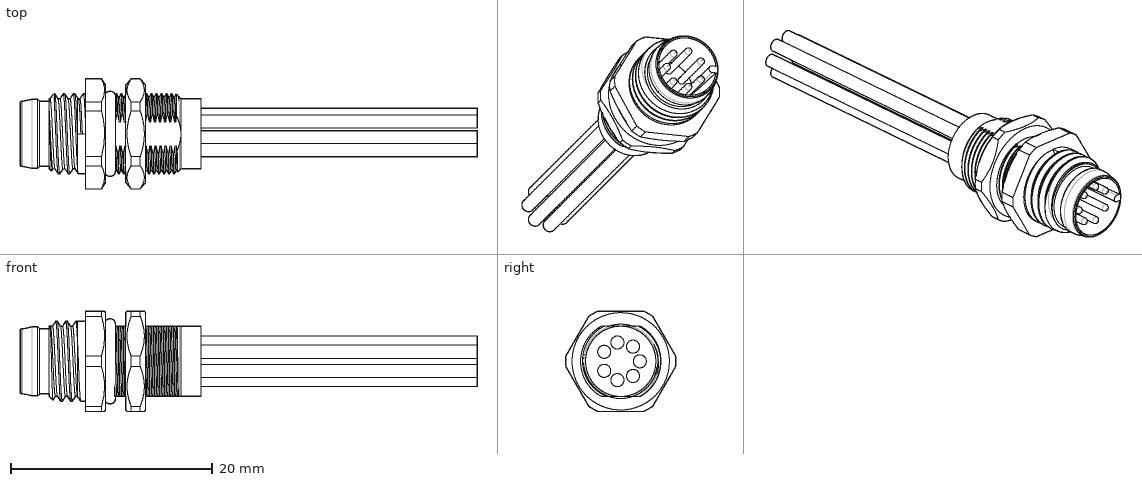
import cadquery as cq
import math


RAMP_START_X = 0.25
RAMP_END_X = 1.2
RIDGE_END_X = 1.75
NECK_X = 1.95
FRONT_THREAD_X = 2.9
SHOULDER_X = 5.7
FLANGE_X = 6.5
HEX_THICKNESS = 2.0
FLANGE_END_X = FLANGE_X + HEX_THICKNESS
NUT_X = 10.5
REAR_THREAD_END_X = 16.0
BODY_END_X = 18.0
WIRE_END_X = 45.5

SLEEVE_RADIUS = 3.25
RIDGE_RADIUS = 3.45
LIP_CHAMFER = 0.1
FLOOR_RADIUS = 2.8
MOUTH_RADIUS = 3.0
BORE_DEPTH = 7.0
KEY_RADIUS = 0.35
KEY_TIP_RADIUS = 2.25

THREAD_RADIUS = 4.0
FRONT_PITCH = 1.0
FRONT_ROOT_RADIUS = 3.5
FRONT_RIDGE_SHIFT = 0.22
RUNOUT_START_TURNS = 1.5
RUNOUT_TURNS = 1.5
REAR_PITCH = 0.5
REAR_ROOT_RADIUS = 3.7
CREST_SHARE = 0.15
BASE_SHARE = 0.85
THREAD_OVERLAP = 0.05
THREAD_CLEARANCE = 0.1
REAR_COLLAR_RADIUS = 3.5
FLAT_HALF_HEIGHT = 3.5

ACROSS_FLATS = 10.0
CORNER_DIAMETER = 10.99
HEX_CHAMFER_RADIAL = 0.65
FLANGE_CHAMFER_AXIAL = 0.4
NUT_CHAMFER_AXIAL = 0.55

RING_OUTER_RADIUS = 4.25
RING_SECTION_RADIUS = 0.55
RING_X = FLANGE_END_X + 0.45

CONTACT_COUNT = 7
CONTACT_STEP_DEG = 50.0
CONTACT_CIRCLE_RADIUS = 1.9
PIN_RADIUS = 0.35
PIN_TIP_X = 0.4
PIN_TIP_ROUNDING = 0.3
WIRE_RADIUS = 0.65
JOINT_OVERLAP = 0.5


def rod(radius, start_x, end_x, y=0.0, z=0.0):
    """Round bar parallel to X."""
    return cq.Workplane("YZ", origin=(start_x, y, z)).circle(radius).extrude(end_x - start_x)


def revolved(points):
    """Solid of revolution about X from (x, radius) points."""
    return cq.Workplane("XY").polyline(points).close().revolve(360, (0, 0, 0), (1, 0, 0))


def helical_bar(pitch, start_x, length, inner_radius, outer_radius, inner_width, outer_width):
    """Trapezoidal bar along a right-handed helix about X that begins on the -Z side."""
    helix = cq.Workplane(cq.Wire.makeHelix(pitch, length, inner_radius))
    profile = cq.Workplane("XZ").polyline(
        [
            (inner_radius, -inner_width / 2),
            (inner_radius, inner_width / 2),
            (outer_radius, outer_width / 2),
            (outer_radius, -outer_width / 2),
        ]
    ).close()
    bar = profile.sweep(helix, isFrenet=True)
    return bar.rotate((0, 0, 0), (0, 1, 0), 90).translate((start_x, 0, 0))


def thread_ridge(pitch, root_radius, start_x, end_x):
    """Thread ridge running one pitch past both ends."""
    return helical_bar(
        pitch,
        start_x - pitch,
        end_x - start_x + 2 * pitch,
        root_radius - THREAD_OVERLAP,
        THREAD_RADIUS,
        BASE_SHARE * pitch,
        CREST_SHARE * pitch,
    )


def front_runout():
    """Last stretch of the front thread groove, ending on the +Z side of the shoulder."""
    return helical_bar(
        FRONT_PITCH,
        FRONT_THREAD_X + FRONT_RIDGE_SHIFT + RUNOUT_START_TURNS * FRONT_PITCH,
        RUNOUT_TURNS * FRONT_PITCH,
        FRONT_ROOT_RADIUS,
        THREAD_RADIUS + THREAD_CLEARANCE,
        (1 - BASE_SHARE) * FRONT_PITCH,
        FRONT_PITCH,
    )


def plug_sleeve():
    return revolved(
        [
            (0, 0),
            (0, SLEEVE_RADIUS - LIP_CHAMFER),
            (LIP_CHAMFER, SLEEVE_RADIUS),
            (RAMP_START_X, SLEEVE_RADIUS),
            (RAMP_END_X, RIDGE_RADIUS),
            (RIDGE_END_X, RIDGE_RADIUS),
            (NECK_X, SLEEVE_RADIUS),
            (FRONT_THREAD_X, SLEEVE_RADIUS),
            (FRONT_THREAD_X, 0),
        ]
    )


def front_thread():
    core = rod(FRONT_ROOT_RADIUS, FRONT_THREAD_X, FLANGE_X)
    envelope_radius = THREAD_RADIUS + THREAD_CLEARANCE
    chamfer = envelope_radius - FRONT_ROOT_RADIUS
    envelope = revolved(
        [
            (FRONT_THREAD_X, 0),
            (FRONT_THREAD_X, FRONT_ROOT_RADIUS),
            (FRONT_THREAD_X + chamfer, envelope_radius),
            (SHOULDER_X, envelope_radius),
            (SHOULDER_X, 0),
        ]
    )
    ridge = thread_ridge(FRONT_PITCH, FRONT_ROOT_RADIUS, FRONT_THREAD_X, SHOULDER_X)
    ridge = ridge.translate((FRONT_RIDGE_SHIFT, 0, 0)).intersect(envelope)
    shoulder = rod(THREAD_RADIUS, SHOULDER_X, FLANGE_X).cut(front_runout())
    return core.union(ridge).union(shoulder)


def rear_thread():
    """Fine thread with a chamfered end and a flat on its upper and lower sides."""
    envelope_radius = THREAD_RADIUS + THREAD_CLEARANCE
    chamfer = envelope_radius - REAR_COLLAR_RADIUS
    root_end_x = REAR_THREAD_END_X - (REAR_ROOT_RADIUS - REAR_COLLAR_RADIUS)
    core = revolved(
        [
            (FLANGE_END_X, 0),
            (FLANGE_END_X, REAR_ROOT_RADIUS),
            (root_end_x, REAR_ROOT_RADIUS),
            (REAR_THREAD_END_X, REAR_COLLAR_RADIUS),
            (REAR_THREAD_END_X, 0),
        ]
    )
    envelope = revolved(
        [
            (RING_X, 0),
            (RING_X, envelope_radius),
            (REAR_THREAD_END_X - chamfer, envelope_radius),
            (REAR_THREAD_END_X, REAR_COLLAR_RADIUS),
            (REAR_THREAD_END_X, 0),
        ]
    )
    ridge = thread_ridge(REAR_PITCH, REAR_ROOT_RADIUS, RING_X, REAR_THREAD_END_X)
    ridge = ridge.intersect(envelope)
    slab = cq.Workplane("XY").box(2 * BODY_END_X, 2 * ACROSS_FLATS, 2 * FLAT_HALF_HEIGHT)
    return core.union(ridge).intersect(slab)


def hexagon(start_x, chamfer_axial, chamfer_front):
    """Hexagon with corners on Y, rounded corners and a chamfered rear face."""
    end_x = start_x + HEX_THICKNESS
    corner_radius = CORNER_DIAMETER / 2
    face_radius = corner_radius - HEX_CHAMFER_RADIAL
    prism = (
        cq.Workplane("YZ", origin=(start_x, 0, 0))
        .polygon(6, ACROSS_FLATS / math.cos(math.pi / 6))
        .extrude(HEX_THICKNESS)
    )
    if chamfer_front:
        front = [(start_x, face_radius), (start_x + chamfer_axial, corner_radius)]
    else:
        front = [(start_x, corner_radius)]
    rear = [(end_x - chamfer_axial, corner_radius), (end_x, face_radius)]
    return prism.intersect(revolved([(start_x, 0)] + front + rear + [(end_x, 0)]))


def jam_nut():
    nut = hexagon(NUT_X, NUT_CHAMFER_AXIAL, chamfer_front=True)
    return nut.cut(rod(REAR_ROOT_RADIUS, NUT_X, NUT_X + HEX_THICKNESS))


def sealing_ring():
    section_center = (RING_X, RING_OUTER_RADIUS - RING_SECTION_RADIUS)
    return (
        cq.Workplane("XY")
        .moveTo(*section_center)
        .circle(RING_SECTION_RADIUS)
        .revolve(360, (0, 0, 0), (1, 0, 0))
    )


def socket():
    """Bore of the plug, tapering inward from its mouth, less the round-nosed key along its -Y side."""
    bore = revolved(
        [
            (0, 0),
            (0, MOUTH_RADIUS),
            (BORE_DEPTH, FLOOR_RADIUS),
            (BORE_DEPTH, 0),
        ]
    )
    key_center = KEY_TIP_RADIUS + KEY_RADIUS
    nose = rod(KEY_RADIUS, 0, BORE_DEPTH, y=-key_center)
    web = cq.Workplane("XY", origin=(0, -SLEEVE_RADIUS, 0)).box(
        BORE_DEPTH, SLEEVE_RADIUS - key_center, 2 * KEY_RADIUS, centered=(False, False, True)
    )
    return bore.cut(nose).cut(web)


def contacts():
    """All pins with the wires behind them, still as separate solids."""
    pieces = cq.Workplane("YZ")
    first_angle = -CONTACT_STEP_DEG * (CONTACT_COUNT - 1) / 2
    for index in range(CONTACT_COUNT):
        angle = math.radians(first_angle + CONTACT_STEP_DEG * index)
        y = CONTACT_CIRCLE_RADIUS * math.cos(angle)
        z = CONTACT_CIRCLE_RADIUS * math.sin(angle)
        pin = rod(PIN_RADIUS, PIN_TIP_X, BORE_DEPTH + JOINT_OVERLAP, y, z)
        pieces.add(pin.faces("<X").fillet(PIN_TIP_ROUNDING))
        pieces.add(rod(WIRE_RADIUS, BODY_END_X - JOINT_OVERLAP, WIRE_END_X, y, z))
    return pieces


def connector():
    front = plug_sleeve().union(front_thread())
    front = front.union(hexagon(FLANGE_X, FLANGE_CHAMFER_AXIAL, chamfer_front=False))
    front = front.cut(socket())
    rear = rear_thread().union(jam_nut())
    rear = rear.union(rod(REAR_COLLAR_RADIUS, REAR_THREAD_END_X, BODY_END_X))
    return front.union(rear).union(sealing_ring()).union(contacts())


result = connector()